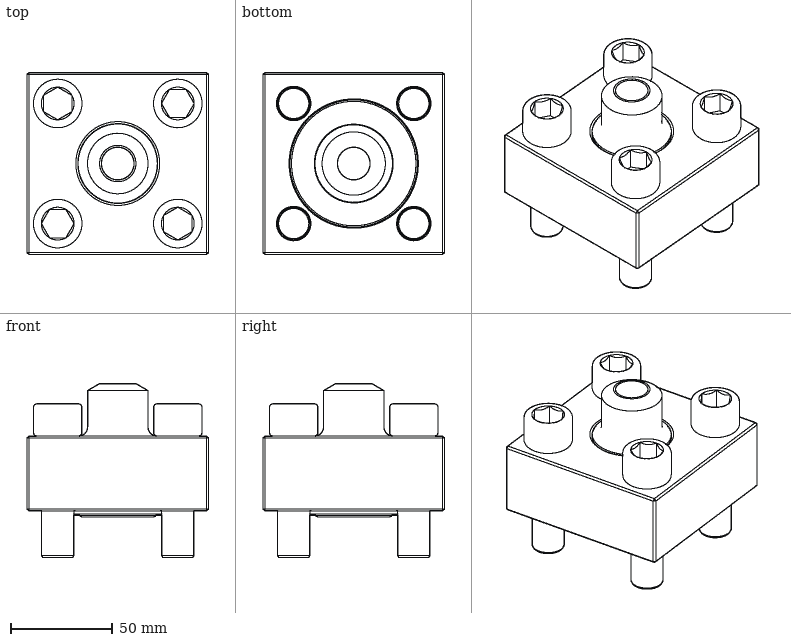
import cadquery as cq
import math

plate_side = 90.0
plate_height = 37.0
plate_edge_chamfer = 1.0
counterbore_diameter = 64.0
counterbore_depth = 18.0
neck_hole_diameter = 39.5
neck_hole_chamfer = 1.0
screw_hole_diameter = 17.0
screw_spacing = 59.4

hub_top = 63.0
disc_diameter = 63.0
disc_protrusion = 2.25
disc_edge_chamfer = 0.7
collar_diameter = 39.15
tube_diameter = 30.0
tube_bore_diameter = 16.0
tube_tip_diameter = 18.0
bevel_angle = 30.0

ring_inner_diameter = 31.3
ring_section_diameter = 3.5
ring_protrusion = 0.8
groove_outer_diameter = 39.0

screw_length = 60.0
shank_diameter = 16.0
shank_tip_chamfer_height = 1.0
shank_tip_chamfer_width = 0.5
head_diameter = 24.0
head_height = 16.0
head_flat_diameter = 20.5
socket_corner_diameter = 16.2
socket_depth = 11.0
socket_cone_angle = 45.0
hexagon_sides = 6
screw_turns = [0.0, 90.0, 180.0, 270.0]

arc_middle_inset = 1 - math.sqrt(0.5)


def make_plate():
    plate = cq.Workplane("XY").box(plate_side, plate_side, plate_height, centered=(True, True, False))
    plate = plate.edges().chamfer(plate_edge_chamfer)
    plate = plate.cut(cq.Workplane("XY").circle(counterbore_diameter / 2).extrude(counterbore_depth))
    plate = plate.cut(cq.Workplane("XY").circle(neck_hole_diameter / 2).extrude(plate_height))
    plate = plate.faces(">Z").edges("%CIRCLE").chamfer(neck_hole_chamfer)
    screw_holes = (
        cq.Workplane("XY")
        .rect(screw_spacing, screw_spacing, forConstruction=True)
        .vertices()
        .circle(screw_hole_diameter / 2)
        .extrude(plate_height)
    )
    return plate.cut(screw_holes)


def make_hub():
    disc_radius = disc_diameter / 2
    collar_radius = collar_diameter / 2
    tube_radius = tube_diameter / 2
    bore_radius = tube_bore_diameter / 2
    tip_radius = tube_tip_diameter / 2
    fillet_radius = collar_radius - tube_radius
    fillet_sag = fillet_radius * arc_middle_inset
    bevel_height = (tube_radius - tip_radius) * math.tan(math.radians(bevel_angle))
    hub = (
        cq.Workplane("XZ")
        .moveTo(bore_radius, -disc_protrusion)
        .lineTo(disc_radius - disc_edge_chamfer, -disc_protrusion)
        .lineTo(disc_radius, disc_edge_chamfer - disc_protrusion)
        .lineTo(disc_radius, counterbore_depth)
        .lineTo(collar_radius, counterbore_depth)
        .lineTo(collar_radius, plate_height)
        .threePointArc(
            (tube_radius + fillet_sag, plate_height + fillet_sag),
            (tube_radius, plate_height + fillet_radius),
        )
        .lineTo(tube_radius, hub_top - bevel_height)
        .lineTo(tip_radius, hub_top)
        .lineTo(bore_radius, hub_top)
        .close()
        .revolve(360, (0, 0, 0), (0, 1, 0))
    )
    seal_groove = (
        cq.Workplane("XY", origin=(0, 0, -disc_protrusion))
        .circle(groove_outer_diameter / 2)
        .circle(ring_inner_diameter / 2)
        .extrude(ring_section_diameter - ring_protrusion)
    )
    return hub.cut(seal_groove)


def make_seal_ring():
    section_radius = ring_section_diameter / 2
    section_centre_radius = ring_inner_diameter / 2 + section_radius
    section_centre_height = section_radius - ring_protrusion - disc_protrusion
    return (
        cq.Workplane("XZ")
        .center(section_centre_radius, section_centre_height)
        .circle(section_radius)
        .revolve(360, (-section_centre_radius, 0, 0), (-section_centre_radius, 1, 0))
    )


def make_screw_blank():
    """Screw without its socket, on the Z axis, with the underside of the head at Z = 0."""
    shank_radius = shank_diameter / 2
    head_radius = head_diameter / 2
    round_radius = head_radius - head_flat_diameter / 2
    round_sag = round_radius * arc_middle_inset
    return (
        cq.Workplane("XZ")
        .moveTo(0, -screw_length)
        .lineTo(shank_radius - shank_tip_chamfer_width, -screw_length)
        .lineTo(shank_radius, shank_tip_chamfer_height - screw_length)
        .lineTo(shank_radius, 0)
        .lineTo(head_flat_diameter / 2, 0)
        .threePointArc((head_radius - round_sag, round_sag), (head_radius, round_radius))
        .lineTo(head_radius, head_height - round_radius)
        .threePointArc(
            (head_radius - round_sag, head_height - round_sag),
            (head_flat_diameter / 2, head_height),
        )
        .lineTo(0, head_height)
        .close()
        .revolve(360, (0, 0, 0), (0, 1, 0))
    )


def make_socket():
    """Hexagonal socket with a conical lead-in that starts at the hexagon's corners."""
    hexagon = (
        cq.Workplane("XY", origin=(0, 0, head_height - socket_depth))
        .polygon(hexagon_sides, socket_corner_diameter)
        .extrude(socket_depth)
    )
    cone_radius = socket_corner_diameter / 2
    cone_depth = cone_radius * math.tan(math.radians(socket_cone_angle))
    lead_in = cq.Workplane(
        cq.Solid.makeCone(0, cone_radius, cone_depth, cq.Vector(0, 0, head_height - cone_depth))
    )
    return hexagon.union(lead_in)


def make_screws():
    """Four screws, each turned about the plate's axis together with its socket."""
    screw = make_screw_blank().cut(make_socket())
    screw = screw.translate((screw_spacing / 2, screw_spacing / 2, plate_height))
    return [screw.rotate((0, 0, 0), (0, 0, 1), turn) for turn in screw_turns]


plate = make_plate()
hub = make_hub()
seal_ring = make_seal_ring()
screws = make_screws()

result = cq.Compound.makeCompound(
    [plate.val(), hub.val(), seal_ring.val(), *[screw.val() for screw in screws]]
)